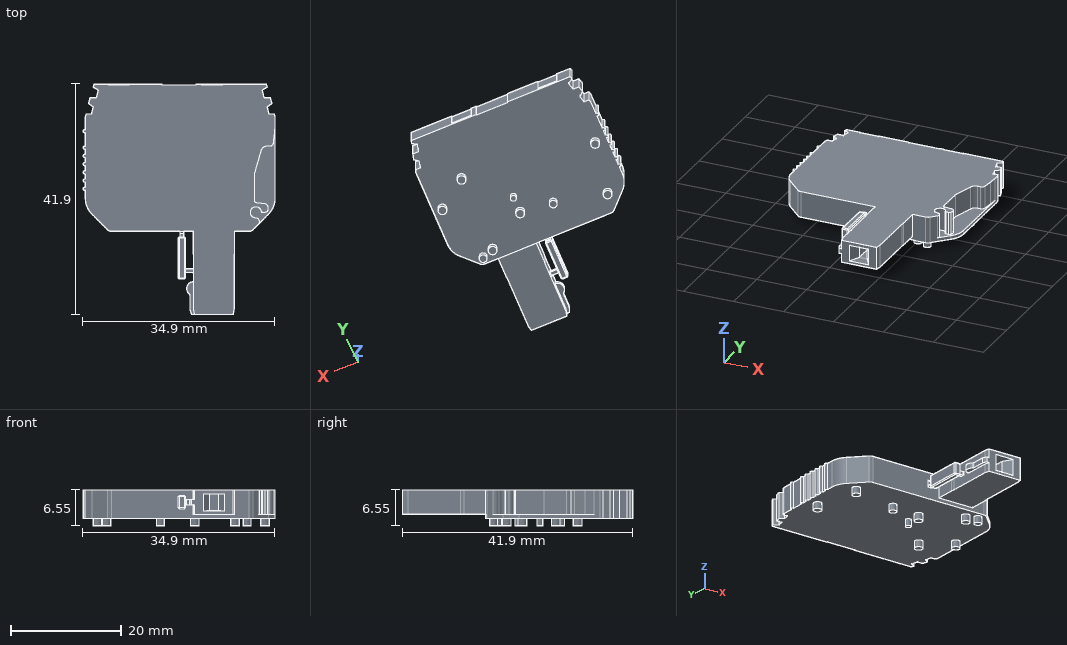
import cadquery as cq
import math

LID_TOP = 0.75
BODY_TOP = 5.2
PIN_LENGTH = 1.35
PLUG_MID_Z = 2.97

BODY_HALF_WIDTH = 17.25
BODY_LENGTH = 26.77
CORNER_CUT = 4.35
CORNER_RADIUS = 4.05
CORNER_FOOT_RADIUS = 1.0

FLANK_NOTCHES = [
    (BODY_HALF_WIDTH, 20.82),
    (17.1, 21.35),
    (16.15, 21.35),
    (15.85, 22.63),
    (16.68, 23.25),
    (16.4, 24.35),
    (15.25, 24.35),
    (14.9, 25.7),
    (15.85, 26.25),
    (15.65, BODY_LENGTH),
]

EDGE_RECESS_DEPTH = 0.13
EDGE_RECESSES = [
    (-13.05, -9.3, LID_TOP),
    (-3.3, 2.85, 0),
    (3.85, 7.65, LID_TOP),
]

RIB_RADIUS = 0.3
RIB_PROTRUSION = 0.38
RIB_FIRST_Y = 7.75
RIB_STEPS = [0, 1, 2, 3, 4, 5, 7]
RIB_SPAN = 10.48
RIB_PITCH = RIB_SPAN / RIB_STEPS[-1]

PINS = [
    (-15.05, 13.58, 0.8),
    (-13.4, 3.85, 0.8),
    (-3.6, 6.05, 0.7),
    (2.65, 6.7, 0.8),
    (2.65, 9.85, 0.55),
    (9.97, 2.18, 0.8),
    (9.97, 16.7, 0.8),
    (12.15, 1.42, 0.7),
    (15.4, 12.75, 0.8),
]

EYE_X = 13.75
EYE_Y = 3.48
EYE_RADIUS = 1.0

CUTAWAY_LOW_Y = 1.2
CUTAWAY_HIGH_Y = 19.7

PLUG_CENTRE_X = 6.1
PLUG_HALF_WIDTH = 3.77
PLUG_LENGTH = 15.13
PLUG_STEP = 0.063
PLUG_STEP_START = 3.95
PLUG_STEP_END = 4.53
PLUG_TIP_INSET = 0.25
PLUG_TIP_LENGTH = 1.0
PLUG_LEFT = PLUG_CENTRE_X - PLUG_HALF_WIDTH

SOCKET_BOTTOM = 1.35
SOCKET_TOP = 4.5
SOCKET_MOUTH_HALF = 1.93
SOCKET_THROAT_HALF = 0.8
SOCKET_FLOOR_RISE = 0.13
SOCKET_FUNNEL_DEPTH = 1.85
SOCKET_THROAT_DEPTH = 3.35

LATCH_THICKNESS = 1.0
LATCH_START_Y = -9.1

BAR_CENTRE_X = 0.3
BAR_WIDTH = 1.35
BAR_HEIGHT = 2.45
BAR_TOP_Y = -0.95
BAR_LENGTH = 7.7
BAR_CHAMFER = 0.2
WEB_WIDTH = 0.7
WEB_FLARE = 0.35
SIDE_WEB_Y = -7.12
SIDE_WEB_FLARE = 0.13

OVERLAP = 0.4
OUTSIDE = 2.1


def slab(sketch, bottom, top):
    """Extrude a closed XY outline between two Z levels."""
    return sketch.extrude(top - bottom).translate((0, 0, bottom))


def make_body():
    right = [(BODY_HALF_WIDTH - CORNER_CUT, 0), (BODY_HALF_WIDTH, CORNER_CUT)] + FLANK_NOTCHES
    left = [(-x, y) for x, y in reversed(right)]
    body = slab(cq.Workplane("XY").polyline(right + left).close(), 0, BODY_TOP)
    for side in (-1, 1):
        corner_x = side * BODY_HALF_WIDTH
        foot_x = side * (BODY_HALF_WIDTH - CORNER_CUT)
        corner = cq.selectors.NearestToPointSelector((corner_x, CORNER_CUT, BODY_TOP / 2))
        foot = cq.selectors.NearestToPointSelector((foot_x, 0, BODY_TOP / 2))
        body = body.edges(corner).fillet(CORNER_RADIUS)
        body = body.edges(foot).fillet(CORNER_FOOT_RADIUS)
    for x_left, x_right, bottom in EDGE_RECESSES:
        recess = cq.Workplane("XY").moveTo((x_left + x_right) / 2, BODY_LENGTH)
        body = body.cut(slab(recess.rect(x_right - x_left, 2 * EDGE_RECESS_DEPTH), bottom, BODY_TOP))
    return body


def make_cutaway():
    """Open area on the right flank, above the lid, with its latch nose and hinge eye."""
    diagonal = EYE_RADIUS * math.sqrt(0.5)
    eye_far = (EYE_X - diagonal, EYE_Y + diagonal)
    outline = (
        cq.Workplane("XY")
        .moveTo(BODY_HALF_WIDTH, CUTAWAY_HIGH_Y)
        .lineTo(17.15, 18.0)
        .lineTo(16.93, 16.17)
        .threePointArc((16.75, 15.7), (16.25, 15.5))
        .lineTo(15.65, 15.5)
        .threePointArc((15.05, 15.25), (14.7, 14.7))
        .lineTo(13.55, 10.65)
        .lineTo(13.55, 5.45)
        .lineTo(13.8, 5.25)
        .lineTo(15.25, 5.05)
        .threePointArc((15.8, 4.8), (15.95, 4.27))
        .lineTo(15.9, 3.65)
        .lineTo(15.4, EYE_Y)
        .lineTo(14.95, EYE_Y)
        .lineTo(EYE_X + EYE_RADIUS, 3.7)
        .lineTo(EYE_X + EYE_RADIUS, EYE_Y)
        .threePointArc(eye_far, (EYE_X, EYE_Y - EYE_RADIUS))
        .threePointArc((14.35, 2.05), (14.1, CUTAWAY_LOW_Y))
        .lineTo(BODY_HALF_WIDTH + OUTSIDE, CUTAWAY_LOW_Y)
        .lineTo(BODY_HALF_WIDTH + OUTSIDE, CUTAWAY_HIGH_Y)
        .close()
    )
    return slab(outline, LID_TOP, BODY_TOP)


def make_ribs():
    centre_x = RIB_RADIUS - RIB_PROTRUSION - BODY_HALF_WIDTH
    centres = [(centre_x, RIB_FIRST_Y + step * RIB_PITCH) for step in RIB_STEPS]
    return slab(cq.Workplane("XY").pushPoints(centres).circle(RIB_RADIUS), 0, BODY_TOP)


def make_pin(x, y, radius):
    return slab(cq.Workplane("XY").moveTo(x, y).circle(radius), -PIN_LENGTH, OVERLAP)


def make_plug():
    right = [
        (PLUG_HALF_WIDTH, OVERLAP),
        (PLUG_HALF_WIDTH, -PLUG_STEP_START),
        (PLUG_HALF_WIDTH - PLUG_STEP, -PLUG_STEP_END),
        (PLUG_HALF_WIDTH - PLUG_STEP, PLUG_TIP_LENGTH - PLUG_LENGTH),
        (PLUG_HALF_WIDTH - PLUG_TIP_INSET, -PLUG_LENGTH),
    ]
    left = [(-x, y) for x, y in reversed(right)]
    outline = cq.Workplane("XY").polyline(right + left).close()
    return slab(outline, LID_TOP, BODY_TOP).translate((PLUG_CENTRE_X, 0, 0))


def make_socket():
    """Funnel that narrows from the plug tip into a straight throat."""
    height = SOCKET_TOP - SOCKET_BOTTOM
    throat_height = height - SOCKET_FLOOR_RISE
    funnel = (
        cq.Workplane("XZ")
        .rect(2 * SOCKET_MOUTH_HALF, height)
        .workplane(offset=-SOCKET_FUNNEL_DEPTH)
        .center(0, SOCKET_FLOOR_RISE / 2)
        .rect(2 * SOCKET_THROAT_HALF, throat_height)
        .loft(ruled=True)
    )
    throat_end = SOCKET_FUNNEL_DEPTH + SOCKET_THROAT_DEPTH
    throat = (
        cq.Workplane("XY")
        .box(2 * SOCKET_THROAT_HALF, SOCKET_THROAT_DEPTH, throat_height)
        .translate((0, throat_end - SOCKET_THROAT_DEPTH / 2, SOCKET_FLOOR_RISE / 2))
    )
    mid_z = (SOCKET_BOTTOM + SOCKET_TOP) / 2
    return funnel.union(throat).translate((PLUG_CENTRE_X, -PLUG_LENGTH, mid_z))


def make_latch():
    inner_x = PLUG_LEFT + OVERLAP
    outline = (
        cq.Workplane("XY")
        .moveTo(inner_x, LATCH_START_Y)
        .lineTo(PLUG_LEFT, LATCH_START_Y)
        .threePointArc((1.17, -10.35), (1.68, -11.4))
        .lineTo(1.75, -11.7)
        .lineTo(1.75, -14.25)
        .lineTo(1.95, -14.85)
        .lineTo(2.1, -PLUG_LENGTH)
        .lineTo(inner_x, -PLUG_LENGTH)
        .close()
    )
    return slab(outline, PLUG_MID_Z - LATCH_THICKNESS / 2, PLUG_MID_Z + LATCH_THICKNESS / 2)


def make_bar():
    bar = cq.Workplane("XY").box(BAR_WIDTH, BAR_LENGTH, BAR_HEIGHT).edges().chamfer(BAR_CHAMFER)
    return bar.translate((BAR_CENTRE_X, BAR_TOP_Y - BAR_LENGTH / 2, PLUG_MID_Z))


def make_upper_web():
    """Web from the body to the bar, flared in Z where it meets the body."""
    half = WEB_WIDTH / 2
    above = [
        (OVERLAP, half + WEB_FLARE),
        (0, half + WEB_FLARE),
        (-WEB_FLARE, half),
        (BAR_TOP_Y - OVERLAP, half),
    ]
    below = [(y, -z) for y, z in reversed(above)]
    web = cq.Workplane("YZ").polyline(above + below).close().extrude(half, both=True)
    return web.translate((BAR_CENTRE_X, 0, PLUG_MID_Z))


def make_side_web():
    """Web from the bar to the plug, flared in Y where it meets the plug."""
    half = WEB_WIDTH / 2
    plug_x = PLUG_LEFT + PLUG_STEP
    above = [
        (BAR_CENTRE_X, half),
        (plug_x - SIDE_WEB_FLARE, half),
        (plug_x, half + SIDE_WEB_FLARE),
        (plug_x + OVERLAP, half + SIDE_WEB_FLARE),
    ]
    below = [(x, -y) for x, y in reversed(above)]
    web = cq.Workplane("XY").polyline(above + below).close().extrude(half, both=True)
    return web.translate((0, SIDE_WEB_Y, PLUG_MID_Z))


result = make_body().cut(make_cutaway()).union(make_ribs())
for pin_x, pin_y, pin_radius in PINS:
    result = result.union(make_pin(pin_x, pin_y, pin_radius))
result = result.union(make_plug()).union(make_latch()).cut(make_socket())
result = result.union(make_bar()).union(make_upper_web()).union(make_side_web())